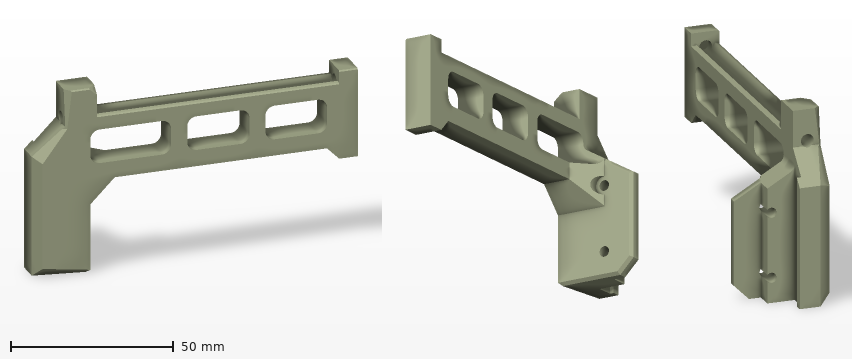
import cadquery as cq
import math


width = 27.0
length = 105.0
height = 61.4
arm_width = 9.25
flange_reach = width - arm_width
overlap = 1.0
cutter_size = 200.0

column_back = 17.8
head_front = 9.8
head_back = 20.0
slope_foot = 39.6
slope_top = slope_foot + head_front

arm_bottom = 30.7
arm_edge_height = 51.75
arm_crown_radius = 21.0
end_block_front = 98.95
end_block_top = 56.0
end_block_bottom = 26.7
end_block_drop = arm_bottom - end_block_bottom
outer_edge_chamfer = 0.4

rod_diameter = 4.2
rod_radius = rod_diameter / 2
rod_x = 4.75
rod_z = 51.1
rod_depth_in_end_block = 3.0
rod_end = end_block_front + rod_depth_in_end_block
groove_wall_angle = math.radians(60.0)

window_bottom = 36.1
window_top = 47.3
window_corner_radius = 3.0
window_spans = [(column_back, 44.1), (49.4, 69.7), (74.9, 95.0)]

flange_front = 14.0
block_front = 8.3
block_reach = 8.95
flange_slope = math.radians(30.0)
flange_outer_height = 32.55
flange_root_height = flange_outer_height + flange_reach * math.tan(flange_slope)
flange_corner_chamfer = 4.9
back_edge_chamfer = 1.0
root_fillet_radius = 2.5

tooth_reach = 1.4
tooth_back = 2.6

gusset_back = 25.75
gusset_reach = 7.7
gusset_front = column_back - 2 * back_edge_chamfer
underside_foot = arm_bottom - (gusset_back - column_back)

screw_diameter = 3.4
screw_head_diameter = 6.0
screw_x = -7.65
lower_screw_z = 8.2
upper_screw_z = 29.5

front_chamfer_width = 3.8
front_chamfer_depth = 2.25
foot_chamfer_height = 3.4
foot_chamfer_back_width = 1.0
slope_chamfer_top_width = 1.0
slope_chamfer_drop = 1.3
head_front_chamfer = 2.0
head_front_chamfer_low_width = 0.55
head_back_chamfer = 2.9
head_back_chamfer_drop = 2.5


def side_prism(points, x_start, x_end):
    """Extrude a (Y, Z) outline from x_start to x_end."""
    sketch = cq.Workplane("YZ", origin=(x_start, 0, 0)).polyline(points).close()
    return sketch.extrude(x_end - x_start)


def front_plane(y):
    return cq.Workplane("XZ", origin=(0, y, 0))


def front_prism(points, y_start, y_end):
    """Extrude an (X, Z) outline from y_start to y_end."""
    return front_plane(y_start).polyline(points).close().extrude(y_start - y_end)


def cylinder_along_y(diameter, x, z, y_start, y_end):
    return front_plane(y_start).center(x, z).circle(diameter / 2).extrude(y_start - y_end)


def block(x_start, x_end, y_start, y_end, z_start, z_end):
    size = (x_end - x_start, y_end - y_start, z_end - z_start)
    return cq.Workplane("XY").box(*size, centered=False).translate((x_start, y_start, z_start))


def outer_half_space(first, second, third):
    """The +X side of the plane through three points, as a large solid."""
    origin = cq.Vector(*first)
    normal = (cq.Vector(*second) - origin).cross(cq.Vector(*third) - origin)
    if normal.x < 0:
        normal = normal * -1
    plane = cq.Plane(origin=first, normal=normal.toTuple())
    return cq.Workplane(plane).rect(cutter_size, cutter_size).extrude(cutter_size)


def crown_height(x):
    """Height of the arm's arched top, which is highest over the rod."""
    centre_z = arm_edge_height - math.sqrt(arm_crown_radius**2 - rod_x**2)
    return centre_z + math.sqrt(arm_crown_radius**2 - (x - rod_x) ** 2)


def make_column_and_arm():
    outline = [
        (0, 0),
        (0, slope_foot),
        (head_front, slope_top),
        (head_front, height),
        (head_back, height),
        (head_back, crown_height(rod_x)),
        (end_block_front, crown_height(rod_x)),
        (end_block_front, end_block_top),
        (length, end_block_top),
        (length, end_block_bottom),
        (end_block_front, end_block_bottom),
        (end_block_front - end_block_drop, arm_bottom),
        (gusset_back, arm_bottom),
        (column_back, underside_foot),
        (column_back, back_edge_chamfer),
        (column_back - back_edge_chamfer, 0),
    ]
    return side_prism(outline, 0, arm_width)


def make_tooth():
    outline = [(0, 0), (0, slope_foot), (tooth_back, slope_foot + tooth_back), (tooth_back, 0)]
    return side_prism(outline, -tooth_reach, 0)


def make_flange():
    root_x = overlap
    outline = [
        (root_x, 0),
        (-flange_reach + flange_corner_chamfer, 0),
        (-flange_reach, flange_corner_chamfer),
        (-flange_reach, flange_outer_height),
        (0, flange_root_height),
        (root_x, flange_root_height),
    ]
    flange = front_prism(outline, block_front, column_back)
    flange = flange.faces(">Y").edges("not >X").chamfer(back_edge_chamfer)
    recess = block(-width, -block_reach, 0, flange_front, -overlap, height)
    return flange.cut(recess)


def make_gusset():
    plan = [
        (0, gusset_front),
        (0, gusset_back),
        (-gusset_reach, gusset_back - gusset_reach),
        (-gusset_reach, gusset_front),
    ]
    underside = [
        (gusset_front, underside_foot - (column_back - gusset_front)),
        (gusset_back, arm_bottom),
        (gusset_back, height),
        (gusset_front, height),
    ]
    under_flange_slope = [
        (0, 0),
        (0, flange_root_height),
        (-flange_reach, flange_outer_height),
        (-flange_reach, 0),
    ]
    gusset = cq.Workplane("XY").polyline(plan).close().extrude(height)
    gusset = gusset.intersect(side_prism(underside, -gusset_reach, 0))
    return gusset.intersect(front_prism(under_flange_slope, gusset_front, gusset_back))


def make_root_fillet():
    """Concave fillet where the sloping top of the flange meets the column."""
    half_angle = (math.pi / 2 + flange_slope) / 2
    tangent_length = root_fillet_radius / math.tan(half_angle)
    centre_x = -root_fillet_radius
    centre_z = flange_root_height + tangent_length
    slope_end = (
        -tangent_length * math.cos(flange_slope),
        flange_root_height - tangent_length * math.sin(flange_slope),
    )
    middle_angle = math.pi / 2 - half_angle
    middle = (
        centre_x + root_fillet_radius * math.cos(middle_angle),
        centre_z - root_fillet_radius * math.sin(middle_angle),
    )
    outline = front_plane(block_front).moveTo(0, centre_z).threePointArc(middle, slope_end)
    return outline.lineTo(0, slope_end[1]).close().extrude(block_front - column_back)


def make_crown_cutter():
    """Everything above the arched top of the arm, between head and end block."""
    edge = (arm_width, crown_height(arm_width))
    outline = front_plane(head_back).moveTo(0, height).lineTo(0, arm_edge_height)
    outline = outline.threePointArc((rod_x, crown_height(rod_x)), edge)
    return outline.lineTo(arm_width, height).close().extrude(head_back - end_block_front)


def make_groove_wall_cutter():
    """Walls of the rod groove, leaning outwards and tangent to the rod hole."""
    tangent_offset = rod_radius * math.sin(groove_wall_angle)
    tangent_z = rod_z - rod_radius * math.cos(groove_wall_angle)
    rise = crown_height(rod_x) - tangent_z
    top_offset = tangent_offset + rise / math.tan(groove_wall_angle)
    outline = (
        front_plane(head_back)
        .moveTo(rod_x - top_offset, tangent_z + rise)
        .lineTo(rod_x - tangent_offset, tangent_z)
        .lineTo(rod_x + tangent_offset, tangent_z)
        .lineTo(rod_x + top_offset, tangent_z + rise)
        .close()
    )
    return outline.extrude(head_back - end_block_front)


def make_window(y_start, y_end):
    window = block(-flange_reach, arm_width, y_start, y_end, window_bottom, window_top)
    return window.edges("|X").fillet(window_corner_radius)


def make_outer_edge_cutter(top, y_start, y_end):
    outline = [
        (arm_width - outer_edge_chamfer, top),
        (arm_width, top),
        (arm_width, top - outer_edge_chamfer),
    ]
    return front_prism(outline, y_start, y_end)


def chamfer_column_corners(body):
    chamfer_x = arm_width - front_chamfer_width
    front_corner = outer_half_space(
        (chamfer_x, 0, 0),
        (chamfer_x, 0, slope_foot),
        (arm_width, front_chamfer_depth, 0),
    )
    foot = outer_half_space(
        (chamfer_x, 0, 0),
        (arm_width, front_chamfer_depth, foot_chamfer_height),
        (arm_width - foot_chamfer_back_width, column_back, 0),
    )
    slope_edge = outer_half_space(
        (chamfer_x, 0, slope_foot),
        (arm_width, front_chamfer_depth, slope_foot - slope_chamfer_drop),
        (arm_width - slope_chamfer_top_width, head_front, slope_top),
    )
    head_front_edge = outer_half_space(
        (arm_width - head_front_chamfer, head_front, height),
        (arm_width, head_front + head_front_chamfer, height),
        (arm_width - head_front_chamfer_low_width, head_front, slope_top),
    )
    head_back_edge = outer_half_space(
        (arm_width - head_back_chamfer, head_back, height),
        (arm_width, head_back - head_back_chamfer, height),
        (arm_width, head_back, height - head_back_chamfer_drop),
    )
    head = block(0, arm_width, head_front, head_back, arm_edge_height, height)
    body = body.cut(front_corner).cut(foot)
    body = body.cut(slope_edge.intersect(head_front_edge))
    return body.cut(head_back_edge.intersect(head))


def make_part():
    body = make_column_and_arm().union(make_tooth()).union(make_flange())
    body = body.union(make_gusset()).union(make_root_fillet())

    body = body.cut(make_crown_cutter()).cut(make_groove_wall_cutter())
    body = body.cut(cylinder_along_y(rod_diameter, rod_x, rod_z, 0, rod_end))
    for y_start, y_end in window_spans:
        body = body.cut(make_window(y_start, y_end))

    for screw_z in (lower_screw_z, upper_screw_z):
        body = body.cut(cylinder_along_y(screw_diameter, screw_x, screw_z, 0, column_back))
    body = body.cut(
        cylinder_along_y(screw_head_diameter, screw_x, upper_screw_z, column_back, gusset_back)
    )

    body = chamfer_column_corners(body)
    body = body.cut(make_outer_edge_cutter(height, head_front, head_back))
    arm_edge_top = crown_height(arm_width - outer_edge_chamfer)
    body = body.cut(make_outer_edge_cutter(arm_edge_top, head_back, end_block_front))
    return body.cut(make_outer_edge_cutter(end_block_top, end_block_front, length))


result = make_part()